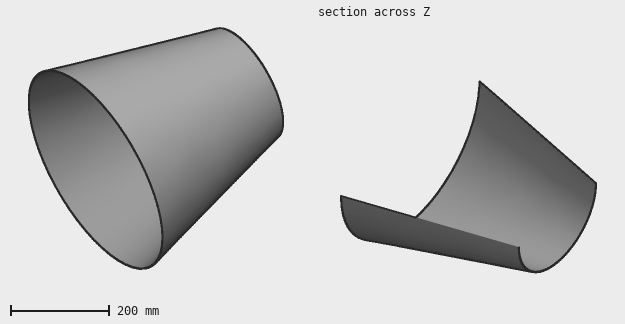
import cadquery as cq
import math

large_diameter = 454.0
small_diameter = 254.2
length = 381.0
wall_thickness = 2.0

large_radius = large_diameter / 2
small_radius = small_diameter / 2
half_angle = math.atan((large_radius - small_radius) / length)

radial_thickness = wall_thickness / math.cos(half_angle)

wall_section = (
    cq.Workplane("XY")
    .moveTo(large_radius, 0)
    .lineTo(small_radius, length)
    .lineTo(small_radius - radial_thickness, length)
    .lineTo(large_radius - radial_thickness, 0)
    .close()
)

result = wall_section.revolve(360, (0, 0, 0), (0, 1, 0))